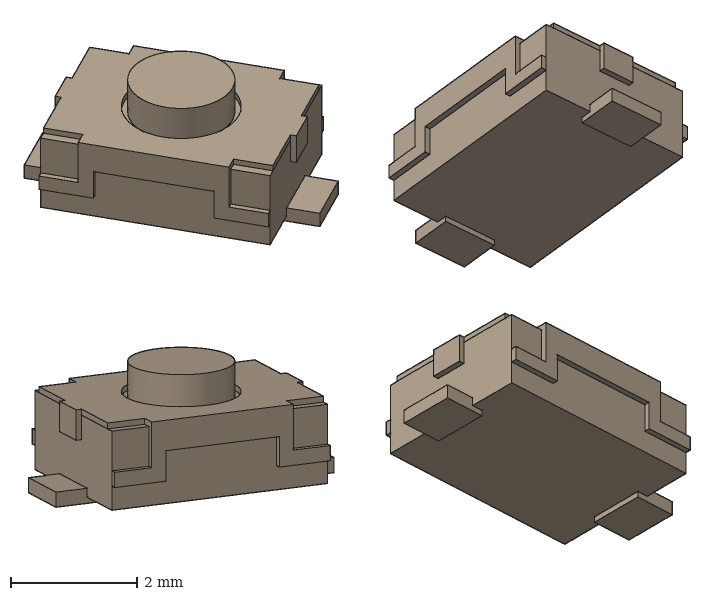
import cadquery as cq

overall_length = 4.9
overall_width = 3.0
overall_height = 2.0

cover_top = 1.5
plate_thickness = 0.1
skirt_thickness = 0.1
skirt_height = 1.0
skirt_window_length = 2.0
skirt_window_height = 0.5
corner_notch_length = 0.65
corner_notch_width = 0.25
corner_notch_height = 0.75
tab_thickness = 0.1
tab_width = 0.6
tab_height = 0.5
button_hole_diameter = 1.9

base_length = 3.8
base_width = overall_width - 2 * skirt_thickness
base_bottom = 0.105
base_top = cover_top - plate_thickness

button_diameter = 1.7

terminal_length = 0.75
terminal_width = 1.0
terminal_thickness = 0.25
terminal_center_x = (overall_length - terminal_length) / 2


def block(length, width, bottom, top, x=0, y=0):
    """Box centred at (x, y) that spans the heights from bottom to top."""
    return (
        cq.Workplane("XY")
        .box(length, width, top - bottom, centered=(True, True, False))
        .translate((x, y, bottom))
    )


def make_terminal(side):
    """Flat terminal at the -X (side = -1) or +X (side = 1) end."""
    return block(terminal_length, terminal_width, 0, terminal_thickness, x=side * terminal_center_x)


def make_base(terminals):
    """Plain block with a recess under each end for its terminal."""
    base = block(base_length, base_width, base_bottom, base_top)
    for terminal in terminals:
        base = base.cut(terminal)
    return base


def make_cover():
    """Sheet cover that fits over the base, with a hole for the button."""
    skirt_bottom = cover_top - skirt_height
    cover = block(base_length, overall_width, skirt_bottom, cover_top)
    cover = cover.cut(block(base_length, base_width, skirt_bottom, base_top))

    window_top = skirt_bottom + skirt_window_height
    cover = cover.cut(block(skirt_window_length, overall_width, skirt_bottom, window_top))

    notch_x = (base_length - corner_notch_length) / 2
    notch_y = (overall_width - corner_notch_width) / 2
    notch_bottom = cover_top - corner_notch_height
    for x in (-notch_x, notch_x):
        for y in (-notch_y, notch_y):
            notch = block(corner_notch_length, corner_notch_width, notch_bottom, cover_top, x, y)
            cover = cover.cut(notch)

    tab_x = (base_length + tab_thickness) / 2
    for x in (-tab_x, tab_x):
        cover = cover.union(block(tab_thickness, tab_width, cover_top - tab_height, cover_top, x))

    hole = cq.Workplane("XY", origin=(0, 0, base_top)).circle(button_hole_diameter / 2)
    return cover.cut(hole.extrude(plate_thickness))


def make_button():
    """Round button standing on the base inside the cover hole."""
    outline = cq.Workplane("XY", origin=(0, 0, base_top)).circle(button_diameter / 2)
    return outline.extrude(overall_height - base_top)


terminals = [make_terminal(side) for side in (-1, 1)]
base = make_base(terminals)
cover = make_cover()
button = make_button()

result = cq.Compound.makeCompound(
    [body.solids().val() for body in (base, cover, button, *terminals)]
)